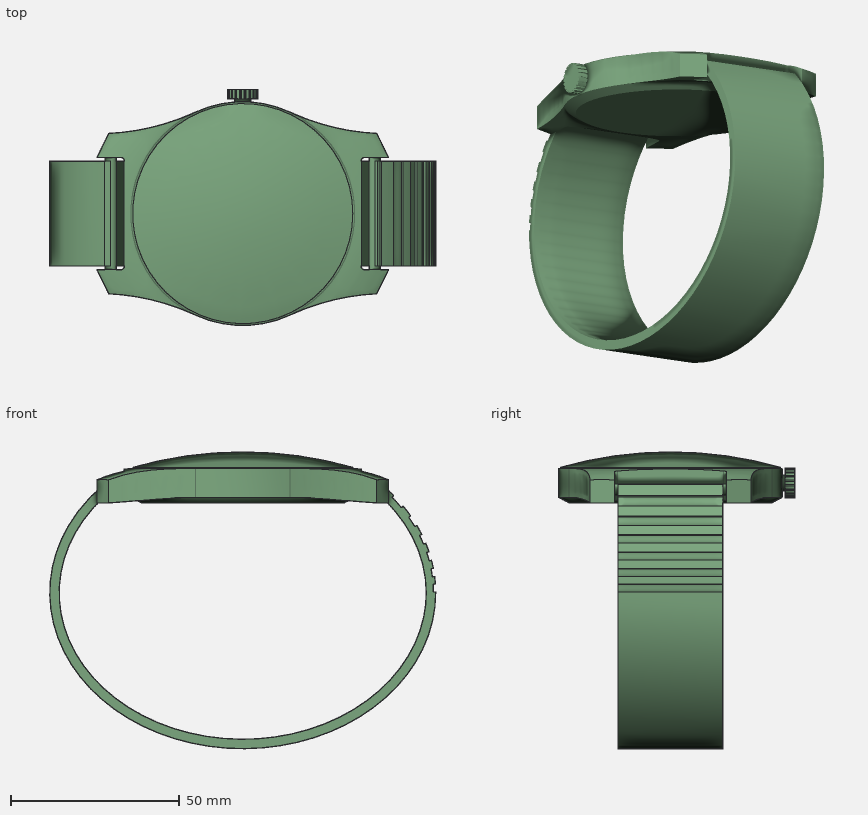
import cadquery as cq
import math


case_radius = 33.3
case_top = 10.3
wall_bottom = 1.7
back_radius = 30.0
blend_x = 14.0
lug_corner_x = 39.9
lug_corner_y = 23.9
lug_tip_x = 43.4
slot_x = 35.3
slot_half_width = 16.7
slot_corner_radius = 0.9
turned_radius = 47.1
turned_top = 6.7
top_sagitta = 0.7
bottom_sagitta = 0.17

crystal_radius = 32.7
crystal_edge = 0.3
crystal_top = 15.3

crown_z = (case_top + wall_bottom) / 2
crown_end = 37.0
crown_length = 2.9
crown_radius = 4.5
crown_groove_count = 20
crown_groove_depth = 0.5
crown_groove_width = 0.5
stem_radius = 2.4
stem_inset = 1.1

pin_radius = 1.7
pin_x = 39.3
pin_z = 4.0

strap_width = 31.2
strap_thickness = 2.9
strap_half_x = 57.4
strap_half_z = 46.4
strap_z = -26.6
strap_end_z = pin_z + pin_radius

strap_groove_count = 7
strap_groove_depth = 0.7
groove_tilt = math.radians(20.5)
first_edge_sine = 0.356
edge_sine_step = 0.0456


def case_outline():
    """Round middle joined to four lug corners by tangent concave flanks."""
    blend_y = math.sqrt(case_radius**2 - blend_x**2)
    right_blend = cq.Vector(blend_x, blend_y)
    circle_tangent = cq.Vector(blend_y, -blend_x)
    flank = cq.Edge.makeTangentArc(
        right_blend, circle_tangent, cq.Vector(lug_corner_x, lug_corner_y)
    )
    flank_middle = flank.positionAt(0.5)
    fx = flank_middle.x
    fy = flank_middle.y
    return (
        cq.Workplane("XY")
        .moveTo(-blend_x, blend_y)
        .threePointArc((0, case_radius), (blend_x, blend_y))
        .threePointArc((fx, fy), (lug_corner_x, lug_corner_y))
        .lineTo(lug_tip_x, slot_half_width)
        .lineTo(lug_tip_x, -slot_half_width)
        .lineTo(lug_corner_x, -lug_corner_y)
        .threePointArc((fx, -fy), (blend_x, -blend_y))
        .threePointArc((0, -case_radius), (-blend_x, -blend_y))
        .threePointArc((-fx, -fy), (-lug_corner_x, -lug_corner_y))
        .lineTo(-lug_tip_x, -slot_half_width)
        .lineTo(-lug_tip_x, slot_half_width)
        .lineTo(-lug_corner_x, lug_corner_y)
        .threePointArc((-fx, fy), (-blend_x, blend_y))
        .close()
    )


def turned_case_profile():
    """Solid of revolution that shapes the top and bottom of the case."""
    return (
        cq.Workplane("XZ")
        .moveTo(0, 0)
        .lineTo(back_radius, 0)
        .lineTo(case_radius, wall_bottom)
        .sagittaArc((turned_radius, 0), -bottom_sagitta)
        .lineTo(turned_radius, turned_top)
        .sagittaArc((case_radius, case_top), -top_sagitta)
        .lineTo(0, case_top)
        .close()
        .revolve(360, (0, 0), (0, 1))
    )


def strap_slot(side):
    """Rounded block that opens one end of the case for the strap."""
    length = 2 * (lug_tip_x - slot_x)
    return (
        cq.Workplane("XY")
        .center(side * lug_tip_x, 0)
        .rect(length, 2 * slot_half_width)
        .extrude(case_top)
        .edges("|Z")
        .fillet(slot_corner_radius)
    )


def crown_stem():
    """Plain stem from inside the case wall to the knurled head."""
    stem_start = case_radius - stem_inset
    return (
        cq.Workplane("XZ", origin=(0, stem_start, crown_z))
        .circle(stem_radius)
        .extrude(-(crown_end - crown_length - stem_start))
    )


def make_case():
    case = case_outline().extrude(case_top).intersect(turned_case_profile())
    for side in (-1, 1):
        case = case.cut(strap_slot(side))
    return case.cut(crown_stem())


def make_crystal():
    """Domed glass with a short upright edge, resting on the case."""
    edge_top = case_top + crystal_edge
    dome_rise = crystal_top - edge_top
    dome_radius = (crystal_radius**2 + dome_rise**2) / (2 * dome_rise)
    half_radius = crystal_radius / 2
    half_z = crystal_top - dome_radius + math.sqrt(dome_radius**2 - half_radius**2)
    return (
        cq.Workplane("XZ")
        .moveTo(0, case_top)
        .lineTo(crystal_radius, case_top)
        .lineTo(crystal_radius, edge_top)
        .threePointArc((half_radius, half_z), (0, crystal_top))
        .close()
        .revolve(360, (0, 0), (0, 1))
    )


def make_crown():
    """Knurled head with its stem."""
    face = cq.Workplane("XZ", origin=(0, crown_end, crown_z))
    head = face.circle(crown_radius).extrude(crown_length)
    first_groove_angle = 180 / crown_groove_count
    grooves = (
        face.polarArray(crown_radius, first_groove_angle, 360, crown_groove_count)
        .rect(2 * crown_groove_depth, crown_groove_width)
        .extrude(crown_length)
    )
    return head.cut(grooves).union(crown_stem())


def make_pin(side):
    """Bar between the two lugs at one end of the case."""
    return (
        cq.Workplane("XZ", origin=(side * pin_x, -slot_half_width, pin_z))
        .circle(pin_radius)
        .extrude(-2 * slot_half_width)
    )


def strap_point(angle, height):
    """Point at a height above the outer ellipse, along its normal."""
    normal_x = math.cos(angle) / strap_half_x
    normal_z = math.sin(angle) / strap_half_z
    scale = height / math.hypot(normal_x, normal_z)
    return (
        strap_half_x * math.cos(angle) + scale * normal_x,
        strap_half_z * math.sin(angle) + scale * normal_z,
    )


def groove_edge_angle(index):
    return math.asin(first_edge_sine + edge_sine_step * index) - groove_tilt


def strap_groove(index, strap_plane):
    """Cutter for one groove: curved floor, side walls square to the strap."""
    start = groove_edge_angle(2 * index)
    end = groove_edge_angle(2 * index + 1)
    middle = (start + end) / 2
    return (
        strap_plane.moveTo(*strap_point(start, -strap_groove_depth))
        .threePointArc(strap_point(middle, -strap_groove_depth), strap_point(end, -strap_groove_depth))
        .lineTo(*strap_point(end, strap_groove_depth))
        .lineTo(*strap_point(start, strap_groove_depth))
        .close()
        .extrude(-strap_width)
    )


def make_strap(pins):
    """Elliptical band, open under the case and seated on both pins."""
    strap_plane = cq.Workplane("XZ", origin=(0, -strap_width / 2, strap_z))
    strap = (
        strap_plane.ellipse(strap_half_x, strap_half_z)
        .ellipse(strap_half_x - strap_thickness, strap_half_z - strap_thickness)
        .extrude(-strap_width)
    )
    opening = cq.Workplane("XY").box(
        2 * pin_x, strap_width, strap_half_z, centered=(True, True, False)
    )
    above_ends = (
        cq.Workplane("XY", origin=(0, 0, strap_end_z))
        .box(2 * strap_half_x, strap_width, strap_half_z, centered=(True, True, False))
    )
    strap = strap.cut(opening).cut(above_ends)
    for index in range(strap_groove_count):
        strap = strap.cut(strap_groove(index, strap_plane))
    for pin in pins:
        strap = strap.cut(pin)
    return strap


case = make_case()
crystal = make_crystal()
crown = make_crown()
pins = [make_pin(side) for side in (-1, 1)]
strap = make_strap(pins)

bodies = [case, crystal, crown, strap, *pins]
result = cq.Compound.makeCompound([body.solids().val() for body in bodies])